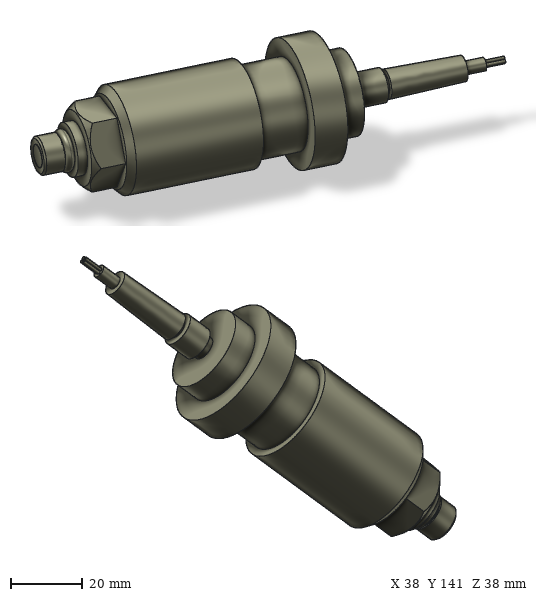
import cadquery as cq
import math

length = 141.0

tip_chamfer = 0.5
plug_end = 6.2
flange_start = 9.2
hex_start = 12.0
body_start = 21.5
body_end = 61.9
collar_start = 76.3
collar_end = 86.2
rear_end = 93.8
ferrule_start = 96.3
ferrule_end = 104.1
sleeve_start = 105.4
sleeve_end = 128.6
cable_end = 135.0

contact_radius = 3.4
plug_radius = 5.6
plug_neck_radius = 5.0
flange_radius = 7.9
body_radius = 16.0
waist_radius = 13.7
collar_radius = 19.0
rear_radius = 12.7
cable_neck_radius = 3.5
ferrule_radius = 5.1
sleeve_neck_radius = 2.8
sleeve_front_radius = 4.4
sleeve_rear_radius = 3.8
cable_radius = 2.0

body_chamfer = 2.1
contact_depth = 0.1
seal_ring_section = 1.34
seal_ring_station = 7.9
hex_across_flats = 22.5
hex_chamfer_radius = 11.0
wire_count = 4
wire_radius = 0.51
wire_pitch_radius = 0.7


def cylinder(start, end, radius):
    """Cylinder on the Y axis between two stations."""
    return cq.Workplane("XZ", origin=(0, start, 0)).circle(radius).extrude(start - end)


def cone(start, end, start_radius, end_radius):
    """Truncated cone on the Y axis between two stations."""
    outline = [(0, start), (start_radius, start), (end_radius, end), (0, end)]
    return cq.Workplane("XY").polyline(outline).close().revolve(360, (0, 0), (0, 1))


def plug():
    """Chamfered plug with a shallow contact recess, its neck and the round seal ring."""
    pin = cylinder(0, plug_end, plug_radius).faces("<Y").chamfer(tip_chamfer)
    recess = cylinder(0, contact_depth, contact_radius)
    neck = cylinder(plug_end, flange_start, plug_neck_radius)
    ring = (
        cq.Workplane("XY")
        .center(plug_neck_radius, seal_ring_station)
        .circle(seal_ring_section)
        .revolve(360, (-plug_neck_radius, 0), (-plug_neck_radius, 1))
    )
    return pin.cut(recess).union(neck).union(ring)


def hex_nut():
    """Hexagon with corners along X, its front corners turned off at 45 degrees."""
    corner_diameter = hex_across_flats / math.cos(math.pi / 6)
    nut = cq.Workplane("XZ", origin=(0, hex_start, 0)).polygon(6, corner_diameter)
    nut = nut.extrude(hex_start - body_start)
    depth = body_start - hex_start
    return nut.intersect(cone(hex_start, body_start, hex_chamfer_radius, hex_chamfer_radius + depth))


def housing():
    """Flange, chamfered main body, waist, collar and rear shoulder."""
    body = cylinder(body_start, body_end, body_radius).faces("<Y").chamfer(body_chamfer)
    return (
        body.union(cylinder(flange_start, hex_start, flange_radius))
        .union(cylinder(body_end, collar_start, waist_radius))
        .union(cylinder(collar_start, collar_end, collar_radius))
        .union(cylinder(collar_end, rear_end, rear_radius))
    )


def cable():
    """Ferrule, tapered sleeve, cable jacket and the bare wires."""
    tail = (
        cylinder(rear_end, ferrule_start, cable_neck_radius)
        .union(cylinder(ferrule_start, ferrule_end, ferrule_radius))
        .union(cylinder(ferrule_end, sleeve_start, sleeve_neck_radius))
        .union(cone(sleeve_start, sleeve_end, sleeve_front_radius, sleeve_rear_radius))
        .union(cylinder(sleeve_end, cable_end, cable_radius))
    )
    for index in range(wire_count):
        angle = index * 2 * math.pi / wire_count
        offset = (wire_pitch_radius * math.cos(angle), 0, wire_pitch_radius * math.sin(angle))
        tail = tail.union(cylinder(cable_end, length, wire_radius).translate(offset))
    return tail


result = plug().union(hex_nut()).union(housing()).union(cable())